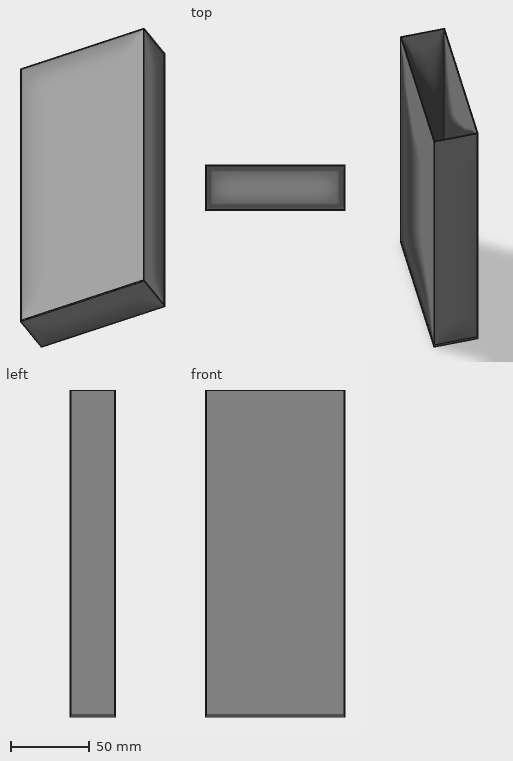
import cadquery as cq

width = 89.0
depth = 29.0
height = 209.0

wall = 0.5
floor = 1.5

outer = cq.Workplane("XY").box(width, depth, height, centered=(True, True, False))

cavity = (
    cq.Workplane("XY")
    .workplane(offset=floor)
    .rect(width - 2 * wall, depth - 2 * wall)
    .extrude(height - floor)
)

result = outer.cut(cavity)